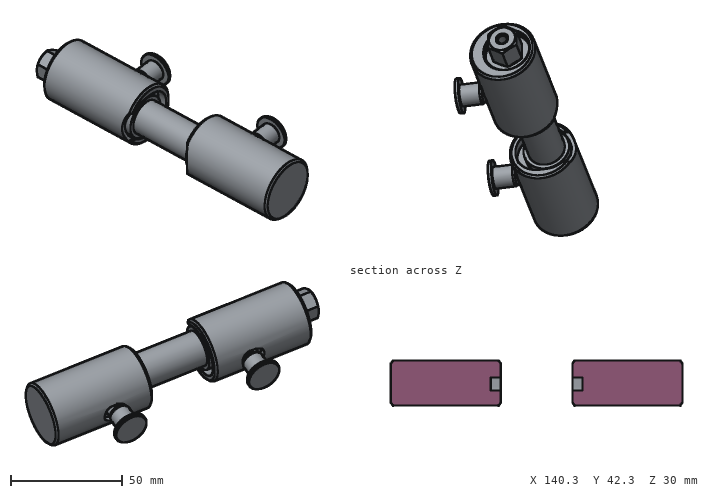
import cadquery as cq
import math

body_diameter = 30.0
body_length = 49.5
gap_length = 32.0
body_chamfer = 1.0

cavity_width = 22.0
cavity_stretch = 3.2
cavity_depth = 4.5
window_radius = 19.0
window_width = 16.2

rod_offset_y = -2.0
rod_diameter = 17.0
collar_diameter = 21.0
collar_setback = 0.2

recess_diameter = 20.5
recess_depth = 3.2
recess_chamfer = 0.5

hex_across_flats = 13.0
hex_projection = 9.3
hex_face_diameter = 12.0
hex_chamfer_angle = 30.0
hole_diameter = 4.2
hole_mouth_diameter = 5.6
hole_depth = 12.0

port_distance = 68.0
port_reach = 27.3
flange_diameter = 16.0
flange_thickness = 1.6
flange_chamfer = 0.3
port_diameter = 10.0
port_start = 15.7
port_chamfer_length = 1.0
port_chamfer_width = 0.5
neck_diameter = 8.8
neck_slot_stretch = 2.5
neck_slot_depth = 3.0

body_radius = body_diameter / 2
gap_end = gap_length / 2
outer_end = gap_end + body_length
hex_end = outer_end + hex_projection
neck_slot_floor = body_radius - neck_slot_depth
collar_face = gap_end + collar_setback
cavity_floor = gap_end + cavity_depth


def cylinder_x(diameter, x_start, x_end, y=0.0):
    """Cylinder parallel to X between two X positions."""
    return cq.Workplane("YZ", origin=(x_start, y, 0)).circle(diameter / 2).extrude(x_end - x_start)


def revolve_on_rod(profile, x_start):
    """Solid of revolution on the rod axis from (distance along +X, radius) points."""
    outline = cq.Workplane("XY").polyline(profile).close()
    return outline.revolve(360, (0, 0, 0), (1, 0, 0)).translate((x_start, rod_offset_y, 0))


def make_body():
    """Body on the +X side with its cavity, side window and the slot that takes the port neck."""
    body = cylinder_x(body_diameter, gap_end, outer_end).faces("<X or >X").chamfer(body_chamfer)
    cavity = (
        cq.Workplane("YZ", origin=(gap_end, rod_offset_y + cavity_stretch / 2, 0))
        .slot2D(cavity_width + cavity_stretch, cavity_width)
        .extrude(cavity_depth)
    )
    window_disc = cq.Workplane("XZ").circle(window_radius).extrude(body_radius)
    window_band = cq.Workplane("XY").box(2 * outer_end, body_diameter, window_width)
    neck_slot = (
        cq.Workplane("XZ", origin=((port_distance + neck_slot_stretch) / 2, body_radius, 0))
        .slot2D(neck_diameter + neck_slot_stretch, neck_diameter)
        .extrude(neck_slot_depth)
    )
    return body.cut(cavity).cut(window_disc.intersect(window_band)).cut(neck_slot)


def make_port():
    """Flanged port of the +X body, revolved about its own axis along Y."""
    neck_radius = neck_diameter / 2
    port_radius = port_diameter / 2
    flange_radius = flange_diameter / 2
    flange_back = port_reach - flange_thickness
    profile = [
        (0, neck_slot_floor),
        (neck_radius, neck_slot_floor),
        (neck_radius, port_start),
        (port_radius - port_chamfer_width, port_start),
        (port_radius, port_start + port_chamfer_length),
        (port_radius, flange_back),
        (flange_radius, flange_back),
        (flange_radius, port_reach - flange_chamfer),
        (flange_radius - flange_chamfer, port_reach),
        (0, port_reach),
    ]
    port = cq.Workplane("XY").polyline(profile).close().revolve(360, (0, 0, 0), (0, 1, 0))
    return port.translate((port_distance / 2, 0, 0))


def make_rod():
    """Rod across the gap with a collar standing in each cavity."""
    rod = cylinder_x(rod_diameter, -cavity_floor, cavity_floor, rod_offset_y)
    for x_start, x_end in [(-cavity_floor, -collar_face), (collar_face, cavity_floor)]:
        rod = rod.union(cylinder_x(collar_diameter, x_start, x_end, rod_offset_y))
    return rod


def make_recess():
    """Round recess with a chamfered mouth, cut into the outer end of the -X body."""
    radius = recess_diameter / 2
    profile = [
        (0, 0),
        (0, radius + recess_chamfer),
        (recess_chamfer, radius),
        (recess_depth, radius),
        (recess_depth, 0),
    ]
    return revolve_on_rod(profile, -outer_end)


def make_hex():
    """Hexagon with corners up and down, its corners turned off conically at both ends."""
    corner_radius = hex_across_flats / math.sqrt(3)
    face_radius = hex_face_diameter / 2
    length = hex_projection + recess_depth
    chamfer_length = (corner_radius - face_radius) * math.tan(math.radians(hex_chamfer_angle))
    corners = []
    for index in range(6):
        angle = math.radians(90 + 60 * index)
        corners.append((corner_radius * math.cos(angle), corner_radius * math.sin(angle)))
    hexagon = (
        cq.Workplane("YZ", origin=(-hex_end, rod_offset_y, 0)).polyline(corners).close().extrude(length)
    )
    turned_profile = [
        (0, 0),
        (0, face_radius),
        (chamfer_length, corner_radius),
        (length - chamfer_length, corner_radius),
        (length, face_radius),
        (length, 0),
    ]
    return hexagon.intersect(revolve_on_rod(turned_profile, -hex_end))


def make_hole():
    """Blind centre hole of the hexagon with a conical mouth and a conical bottom."""
    radius = hole_diameter / 2
    mouth_radius = hole_mouth_diameter / 2
    profile = [
        (0, 0),
        (0, mouth_radius),
        (mouth_radius - radius, radius),
        (hole_depth, radius),
        (hole_depth + radius, 0),
    ]
    return revolve_on_rod(profile, -hex_end)


right_half = make_body().union(make_port())
left_half = right_half.mirror("YZ").cut(make_recess())

result = right_half.union(left_half).union(make_rod()).union(make_hex()).cut(make_hole())